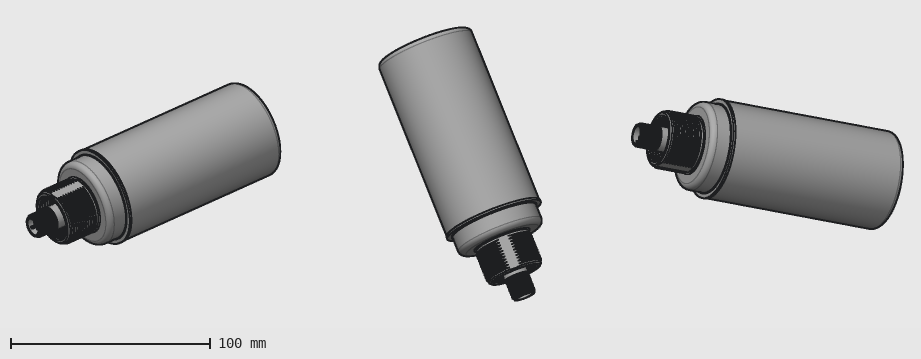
import cadquery as cq
import math

LENGTH = 137.4
TIP_Y = -LENGTH / 2

BODY_RADIUS = 25.0
BODY_BACK_FILLET = 2.5
LIP_RADIUS = 25.3
LIP_WIDTH = 1.2
LIP_FRONT = 41.6
COLLAR_RADIUS = 22.5
COLLAR_FILLET = 3.0
COLLAR_FRONT = 30.9
COLLAR_STEP_RADIUS = 23.0
COLLAR_STEP_WIDTH = 0.3

SLEEVE_FRONT = 12.1
SLEEVE_CREST = 14.7
SLEEVE_ROOT = 14.0
SLEEVE_CHAMFER = 0.8
SLEEVE_FLARE_RADIUS = 15.0
SLEEVE_FLARE_LENGTH = 0.4
SLEEVE_PITCH = 1.5
SLEEVE_TURNS = 10
SLEEVE_THREAD_FRONT = 14.0
FLAT_HEIGHT = 13.7
BORE_MAJOR = 12.0
BORE_MINOR = 11.1
BORE_TURNS = 7
BORE_CONE_RADIUS = 9.9
BORE_CONE_LENGTH = 1.2
BORE_FLOOR_RADIUS = 8.8
BORE_STEP_DEPTH = 1.4

THREAD_FLAT_SHARE = 0.25

STEM_RADIUS = 6.5
STEM_CONE_LENGTH = 0.7
STEM_FRONT = 10.2
STEM_FLANGE_RADIUS = 7.7
STEM_FLANGE_FRONT = 20.6
PLUG_CREST = 6.0
PLUG_ROOT = 5.4
PLUG_PITCH = 1.0
PLUG_TURNS = 9
PLUG_THREAD_FRONT = 0.8
SOCKET_RADIUS = 4.4
SOCKET_DEPTH = 8.2
PIN_RADIUS = 0.48
PIN_CIRCLE_RADIUS = 2.5
PIN_COUNT = 4
PIN_RECESS = 2.7
KEY_RADIUS = 0.7
KEY_CENTRE_RADIUS = 3.8
KEY_RECESS = 1.4
KEY_ANGLE = 225


def thread_profile(base, peak, front, pitch, turns):
    """Points of a run of flat-topped rings, going from the front towards the back."""
    flat = THREAD_FLAT_SHARE * pitch
    flank = (pitch - flat) / 2
    points = [(base, front)]
    for turn in range(turns):
        start = front + turn * pitch
        points.append((peak, start + flank))
        points.append((peak, start + flank + flat))
        points.append((base, start + pitch))
    return points


def revolve(points):
    """Turn (radius, distance from tip) points about the Y axis."""
    placed = [(radius, TIP_Y + distance) for radius, distance in points]
    return cq.Workplane("XY").polyline(placed).close().revolve(360, (0, 0), (0, 1))


def rod(radius, x, z, front, back):
    """Cylinder along Y between two distances from the tip."""
    plane = cq.Workplane("XZ", origin=(x, TIP_Y + back, z))
    return plane.circle(radius).extrude(back - front)


def make_housing():
    lip_back = LIP_FRONT + LIP_WIDTH
    body = rod(BODY_RADIUS, 0, 0, LIP_FRONT, LENGTH)
    body = body.faces(">Y").edges().fillet(BODY_BACK_FILLET)
    lip = rod(LIP_RADIUS, 0, 0, LIP_FRONT, lip_back)
    collar = rod(COLLAR_RADIUS, 0, 0, COLLAR_FRONT, LIP_FRONT)
    collar = collar.faces("<Y").edges().fillet(COLLAR_FILLET)
    step = rod(COLLAR_STEP_RADIUS, 0, 0, LIP_FRONT - COLLAR_STEP_WIDTH, lip_back)
    return body.union(lip).union(collar).union(step)


def make_sleeve():
    flare_front = COLLAR_FRONT - SLEEVE_FLARE_LENGTH
    thread = thread_profile(SLEEVE_ROOT, SLEEVE_CREST, SLEEVE_THREAD_FRONT, SLEEVE_PITCH, SLEEVE_TURNS)
    outline = [(0, SLEEVE_FRONT), (SLEEVE_ROOT - SLEEVE_CHAMFER, SLEEVE_FRONT)]
    outline.append((SLEEVE_ROOT, SLEEVE_FRONT + SLEEVE_CHAMFER))
    outline += thread + [(SLEEVE_ROOT, flare_front), (0, flare_front)]
    flats = cq.Workplane("XY").box(2 * SLEEVE_CREST, 2 * LENGTH, 2 * FLAT_HEIGHT)
    flare_outline = [(0, flare_front), (SLEEVE_ROOT, flare_front)]
    flare_outline += [(SLEEVE_FLARE_RADIUS, COLLAR_FRONT), (0, COLLAR_FRONT)]
    return revolve(outline).intersect(flats).union(revolve(flare_outline)).cut(make_bore())


def make_bore():
    thread = thread_profile(BORE_MAJOR, BORE_MINOR, SLEEVE_FRONT, SLEEVE_PITCH, BORE_TURNS)
    thread_end = SLEEVE_FRONT + BORE_TURNS * SLEEVE_PITCH
    cone_end = thread_end + BORE_CONE_LENGTH
    floor = cone_end + BORE_STEP_DEPTH
    outline = [(0, SLEEVE_FRONT)] + thread
    outline += [(BORE_MINOR, thread_end), (BORE_CONE_RADIUS, cone_end), (BORE_FLOOR_RADIUS, cone_end)]
    outline += [(BORE_FLOOR_RADIUS, floor), (0, floor)]
    return revolve(outline)


def make_plug():
    thread = thread_profile(PLUG_ROOT, PLUG_CREST, PLUG_THREAD_FRONT, PLUG_PITCH, PLUG_TURNS)
    outline = [(0, 0), (PLUG_ROOT, 0)] + thread
    outline += [(PLUG_CREST, STEM_FRONT), (STEM_RADIUS, STEM_FRONT + STEM_CONE_LENGTH)]
    outline += [(STEM_RADIUS, STEM_FLANGE_FRONT), (STEM_FLANGE_RADIUS, STEM_FLANGE_FRONT)]
    outline += [(STEM_FLANGE_RADIUS, COLLAR_FRONT), (0, COLLAR_FRONT)]
    plug = revolve(outline).cut(rod(SOCKET_RADIUS, 0, 0, 0, SOCKET_DEPTH))
    for index in range(PIN_COUNT):
        angle = math.radians(index * 360 / PIN_COUNT)
        x = PIN_CIRCLE_RADIUS * math.cos(angle)
        z = PIN_CIRCLE_RADIUS * math.sin(angle)
        plug = plug.union(rod(PIN_RADIUS, x, z, PIN_RECESS, SOCKET_DEPTH + PIN_RADIUS))
    key_angle = math.radians(KEY_ANGLE)
    key_x = KEY_CENTRE_RADIUS * math.cos(key_angle)
    key_z = KEY_CENTRE_RADIUS * math.sin(key_angle)
    return plug.union(rod(KEY_RADIUS, key_x, key_z, KEY_RECESS, SOCKET_DEPTH + KEY_RADIUS))


result = make_housing().union(make_sleeve()).union(make_plug())